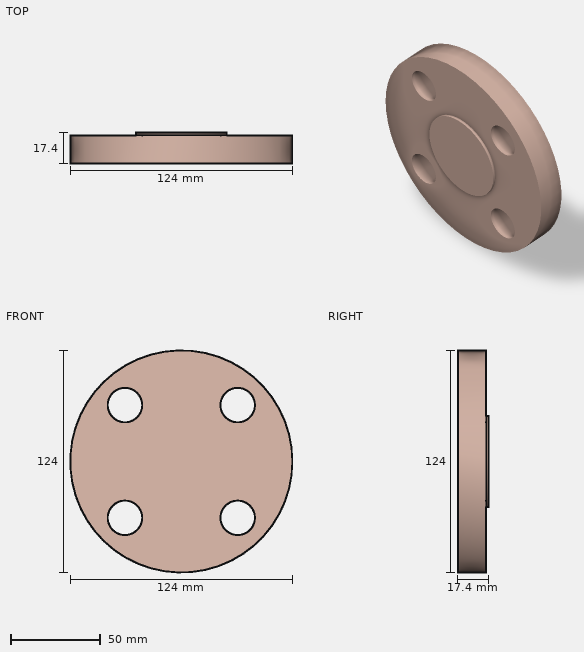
import cadquery as cq

flange_diameter = 124
total_thickness = 17.4
raised_face_diameter = 50.8
raised_face_height = 1.6
disc_thickness = total_thickness - raised_face_height

bolt_hole_diameter = 19.1
bolt_circle_diameter = 88.9
bolt_hole_count = 4
first_hole_angle = 180 / bolt_hole_count


def cylinder_along_y(diameter, length):
    """Cylinder from Y = 0 towards +Y, centred on the Y axis."""
    return cq.Workplane("XZ").circle(diameter / 2).extrude(-length)


def bolt_holes():
    """Cutters for the bolt holes, through the full thickness."""
    return (
        cq.Workplane("XZ")
        .polarArray(bolt_circle_diameter / 2, first_hole_angle, 360, bolt_hole_count)
        .circle(bolt_hole_diameter / 2)
        .extrude(-total_thickness)
    )


disc = cylinder_along_y(flange_diameter, disc_thickness)

raised_face = cylinder_along_y(raised_face_diameter, total_thickness)

result = disc.union(raised_face).cut(bolt_holes())